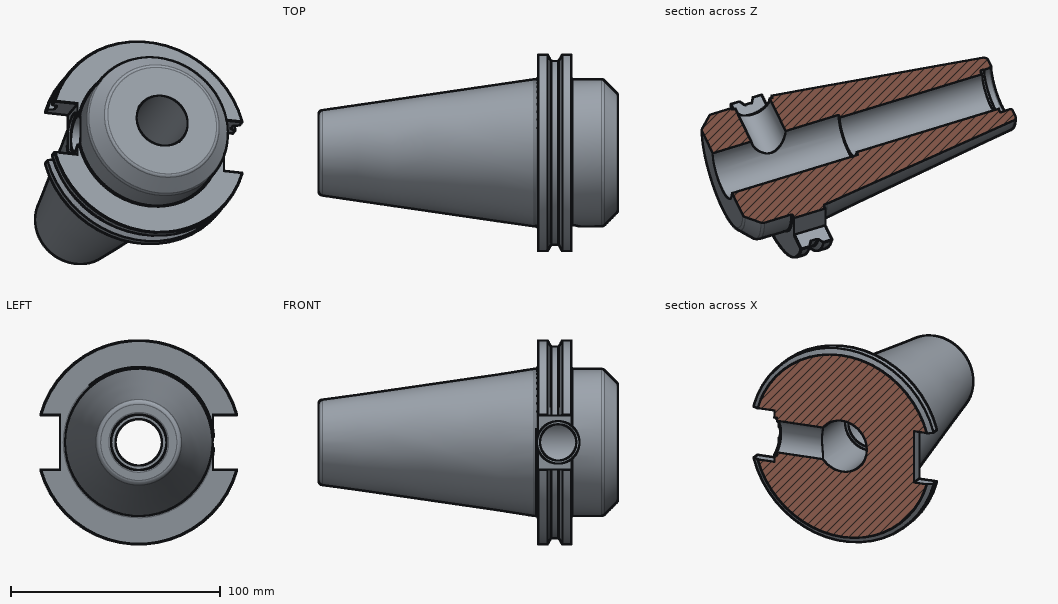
import cadquery as cq
total_length = 142.8
taper_length = 102.8
flange_start = 104.5
flange_width = 16.1
flange_end = flange_start + flange_width

body_radius = 70.2 / 2
taper_ratio = 7 / 24
small_end_radius = body_radius - taper_length * taper_ratio / 2
small_end_round = 2.3
nose_bevel = 7.1
nose_round = 2.1

flange_radius = 48.7
flange_chamfer = 0.35
neck_fillet = 0.9
nose_fillet = 0.4
groove_center = 112.6
groove_floor_width = 3.7
groove_mouth_width = 7.1
groove_depth = 3.0
groove_floor_fillet = 0.5

slot_width = 25.7
front_slot_floor = 35.4
back_slot_floor = 37.5

through_diameter = 22.0
shank_bore_diameter = 25.4
shank_bore_depth = 64.2
pilot_diameter = 26.3
pilot_depth = 5.9
pilot_mouth_round = 1.1
relief_diameter = 26.7
relief_length = 1.9

screw_center = 114.2
screw_diameter = 17.3
screw_seat_diameter = 20.3
screw_seat_distance = 34.0


def cylinder_along_x(start, length, radius):
    return cq.Workplane("YZ", origin=(start, 0, 0)).circle(radius).extrude(length)


def make_taper():
    """Cone with a rounded small end and a short cylindrical neck."""
    cone = (
        cq.Workplane("XY")
        .polyline([(0, 0), (0, small_end_radius), (taper_length, body_radius), (taper_length, 0)])
        .close()
        .revolve(360, (0, 0, 0), (1, 0, 0))
        .faces("<X").edges().fillet(small_end_round)
    )
    return cone.union(cylinder_along_x(taper_length, flange_end - taper_length, body_radius))


def make_nose():
    """Cylinder behind the flange with a bevelled, softened front."""
    nose = cylinder_along_x(flange_start, total_length - flange_start, body_radius)
    nose = nose.faces(">X").chamfer(nose_bevel)
    bevel_edges = cq.selectors.BoxSelector(
        (flange_end, -body_radius - 1.4, -body_radius - 1.4),
        (total_length + 1.4, body_radius + 1.4, body_radius + 1.4),
    )
    return nose.edges("%CIRCLE").edges(bevel_edges).fillet(nose_round)


def make_corner_fillet(face_x, direction, radius):
    """Ring filling the corner between the body and a flange face; direction is the way the face looks."""
    return (
        cq.Workplane("XY")
        .moveTo(face_x, 0)
        .lineTo(face_x, body_radius + radius)
        .radiusArc((face_x + direction * radius, body_radius), direction * -radius)
        .lineTo(face_x + direction * radius, 0)
        .close()
        .revolve(360, (0, 0, 0), (1, 0, 0))
    )


def make_slot(side, floor):
    """Drive slot cutter; side is -1 for -Y and +1 for +Y."""
    depth = flange_radius - floor
    return cq.Workplane("XY").box(flange_width, depth, slot_width).translate(
        (flange_start + flange_width / 2, side * (floor + depth / 2), 0)
    )


def make_flange():
    """Slotted disc with chamfered edges, a V-groove and fillets onto the body on both sides."""
    flange = cylinder_along_x(flange_start, flange_width, flange_radius)
    flange = flange.cut(make_slot(-1, front_slot_floor)).cut(make_slot(1, back_slot_floor))
    rim_edges = flange.faces("%CYLINDER").edges()
    slot_wall_edges = flange.edges("|Y")
    flange = flange.newObject(rim_edges.vals() + slot_wall_edges.vals()).chamfer(flange_chamfer)
    groove = (
        cq.Workplane("XY")
        .polyline([
            (groove_center - groove_mouth_width / 2, flange_radius),
            (groove_center - groove_floor_width / 2, flange_radius - groove_depth),
            (groove_center + groove_floor_width / 2, flange_radius - groove_depth),
            (groove_center + groove_mouth_width / 2, flange_radius),
        ])
        .close()
        .revolve(360, (0, 0, 0), (1, 0, 0))
    )
    groove_floor = cq.selectors.RadiusNthSelector(0)
    flange = flange.cut(groove.edges(groove_floor).fillet(groove_floor_fillet))
    flange = flange.union(make_corner_fillet(flange_start, -1, neck_fillet))
    return flange.union(make_corner_fillet(flange_end, 1, nose_fillet))


def make_bore():
    """Stepped bore running through the whole part."""
    bore = cylinder_along_x(0, total_length, through_diameter / 2)
    bore = bore.union(
        cylinder_along_x(total_length - shank_bore_depth, shank_bore_depth, shank_bore_diameter / 2)
    )
    pilot_radius = pilot_diameter / 2
    pilot = (
        cq.Workplane("XY")
        .lineTo(0, pilot_radius + pilot_mouth_round)
        .radiusArc((pilot_mouth_round, pilot_radius), -pilot_mouth_round)
        .lineTo(pilot_depth, pilot_radius)
        .lineTo(pilot_depth, 0)
        .close()
        .revolve(360, (0, 0, 0), (1, 0, 0))
    )
    relief = cylinder_along_x(pilot_depth - relief_length, relief_length, relief_diameter / 2)
    return bore.union(pilot).union(relief)


def cylinder_along_y(start, end, radius):
    """Cylinder on the screw axis, reaching from y = start to y = end."""
    return cq.Workplane("XZ", origin=(screw_center, start, 0)).circle(radius).extrude(start - end)


def make_screw_hole():
    """Radial hole from the -Y side into the bore, with a flat seat around its mouth."""
    hole = cylinder_along_y(0, -flange_radius, screw_diameter / 2)
    seat = cylinder_along_y(-screw_seat_distance, -flange_radius, screw_seat_diameter / 2)
    return hole.union(seat)


result = make_taper().union(make_nose()).union(make_flange())
result = result.cut(make_bore()).cut(make_screw_hole())